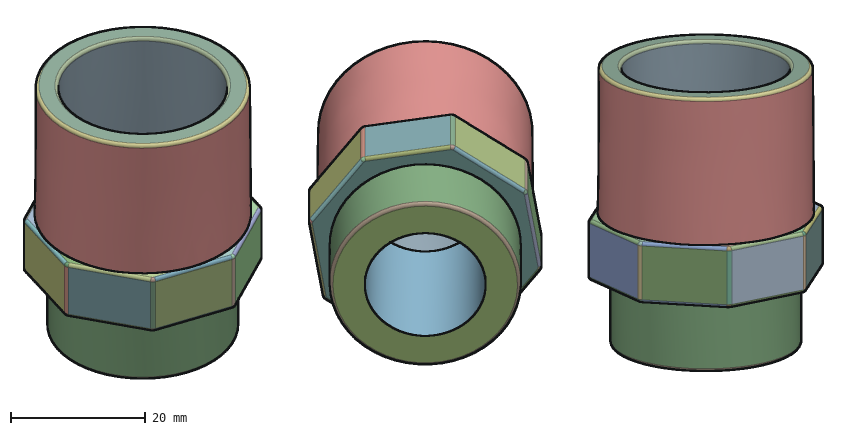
import cadquery as cq
import math

total_height = 43.3
flange_bottom = 11.0
flange_top = 20.45

spigot_diameter = 28.5
flange_across_flats = 33.0
flange_corner_radius = 1.0
socket_base_diameter = 32.25
socket_rim_diameter = 31.95
edge_radius = 0.5

bore_diameter = 18.0
socket_depth = 19.5
socket_mouth_bore = 25.1
socket_floor_bore = 24.75

flange_height = flange_top - flange_bottom
socket_height = total_height - flange_top
flange_side_count = 8
flange_corner_diameter = flange_across_flats / math.cos(math.pi / flange_side_count)


def cylinder(diameter, bottom, height):
    """Upright cylinder starting at the given height."""
    return cq.Workplane("XY").workplane(offset=bottom).circle(diameter / 2).extrude(height)


def cone(bottom_diameter, top_diameter, bottom, height):
    """Upright truncated cone starting at the given height."""
    base_center = cq.Vector(0, 0, bottom)
    solid = cq.Solid.makeCone(bottom_diameter / 2, top_diameter / 2, height, pnt=base_center)
    return cq.Workplane("XY").add(solid)


def make_spigot():
    """Plain round end with a rounded lower edge."""
    return cylinder(spigot_diameter, 0, flange_top).faces("<Z").edges().fillet(edge_radius)


def make_flange():
    """Octagonal wrench grip with flats facing X and Y, rounded on every edge."""
    half_side_angle = 180 / flange_side_count
    flange = (
        cq.Workplane("XY")
        .workplane(offset=flange_bottom)
        .transformed(rotate=(0, 0, half_side_angle))
        .polygon(flange_side_count, flange_corner_diameter)
        .extrude(flange_height)
    )
    flange = flange.edges("|Z").fillet(flange_corner_radius)
    return flange.faces("<Z or >Z").edges().fillet(edge_radius)


def make_socket():
    """Slightly drafted socket body with its tapered bore, both rim edges rounded."""
    body = cone(socket_base_diameter, socket_rim_diameter, flange_top, socket_height)
    pocket = cone(socket_floor_bore, socket_mouth_bore, total_height - socket_depth, socket_depth)
    return body.cut(pocket).faces(">Z").edges().fillet(edge_radius)


socket_foot = cylinder(socket_base_diameter, flange_top - edge_radius, edge_radius)
bore = cylinder(bore_diameter, 0, total_height)

result = make_spigot().union(make_flange()).union(socket_foot).union(make_socket()).cut(bore)